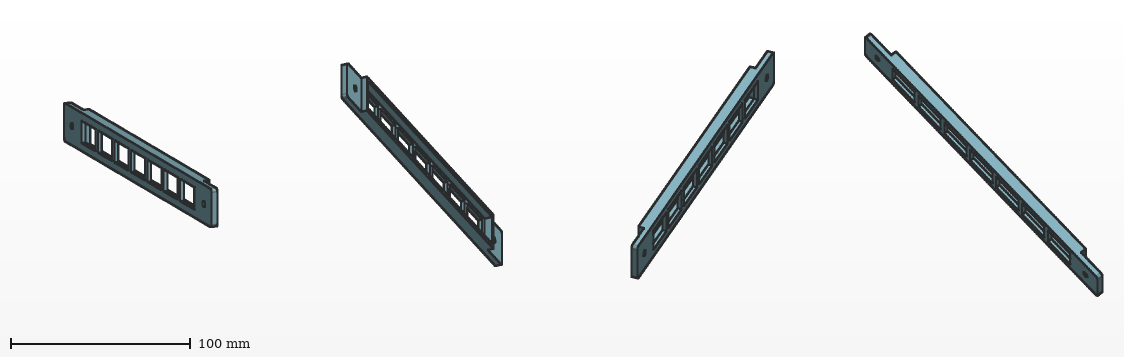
import cadquery as cq

length = 199.8
height = 22.2
total_depth = 7.0
plate_thickness = 3.5
corner_radius = 1.8

block_length = 163.0

window_count = 7
window_row_span = 133.7
window_pitch = window_row_span / (window_count - 1)
window_width = 19.0
window_height = 12.8

panel_thickness = 2.4
channel_length = 159.5
channel_height = 17.5

hole_diameter = 3.4
hole_spacing = 178.6


def centred_box(width, depth, box_height, front_y):
    """Box centred in X and Z that extends toward +Y from front_y."""
    return cq.Workplane("XY").box(width, depth, box_height).translate((0, front_y + depth / 2, 0))


plate = centred_box(length, plate_thickness, height, 0).edges("|Y").fillet(corner_radius)
block = centred_box(block_length, total_depth - plate_thickness, height, plate_thickness)
result = plate.union(block)

result = result.cut(
    centred_box(channel_length, total_depth - panel_thickness, channel_height, panel_thickness)
)

for index in range(window_count):
    window_x = index * window_pitch - window_row_span / 2
    window = centred_box(window_width, panel_thickness, window_height, 0)
    result = result.cut(window.translate((window_x, 0, 0)))

for hole_x in (-hole_spacing / 2, hole_spacing / 2):
    hole = cq.Workplane("XZ").center(hole_x, 0).circle(hole_diameter / 2).extrude(-plate_thickness)
    result = result.cut(hole)